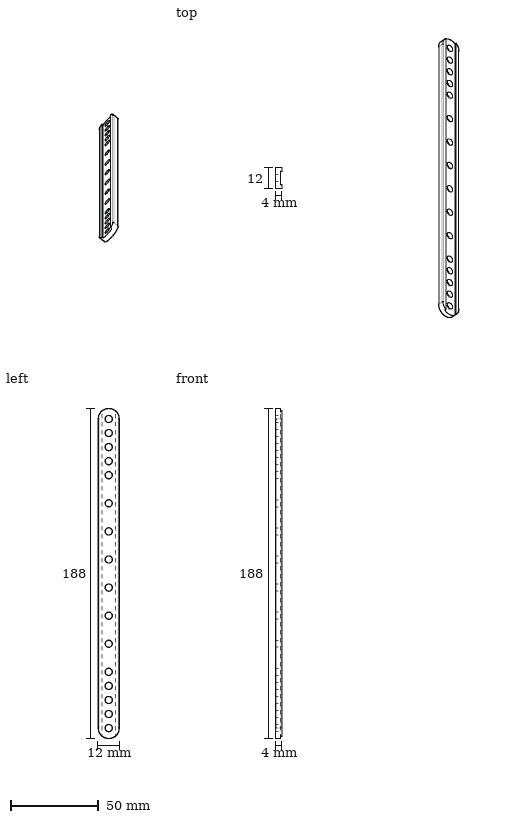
import cadquery as cq

length = 188.0
width = 12.0
thickness = 4.0
straight_length = length - width

edge_radius = 0.5

channel_width = 7.5
channel_depth = 1.0

hole_diameter = 4.0
pitch_count = 22
hole_pitch = straight_length / pitch_count
hole_steps = [*range(0, 4), *range(4, 18, 2), *range(18, pitch_count + 1)]


def rounded_bar():
    """Bar with full-radius ends; only its straight long edges are rounded."""
    straight = cq.Workplane("XY").box(thickness, width, straight_length, centered=(False, True, True))
    outline = cq.Workplane("YZ").slot2D(length, width, 90).extrude(thickness)
    ends = outline.cut(straight)
    return ends.union(straight.edges("|Z").fillet(edge_radius))


def channel():
    """Material removed to leave a lip along each long edge."""
    return (
        cq.Workplane("XY")
        .box(channel_depth, channel_width, length, centered=(False, True, True))
        .translate((thickness - channel_depth, 0, 0))
    )


def holes():
    """Through holes along the centre line."""
    first_hole = -straight_length / 2
    centres = [(0, first_hole + step * hole_pitch) for step in hole_steps]
    return cq.Workplane("YZ").pushPoints(centres).circle(hole_diameter / 2).extrude(thickness)


result = rounded_bar().cut(channel()).cut(holes())